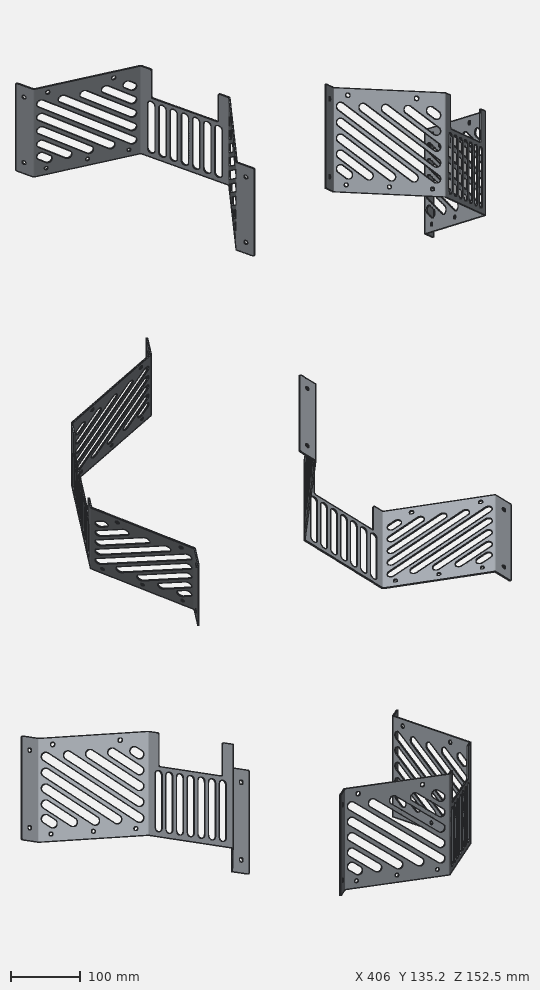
import cadquery as cq
import math

width = 406.0
depth = 135.2
height = 152.5

sheet = 2.0
bend_inner_radius = 1.2
bend_outer_radius = bend_inner_radius + sheet
flange_length = 31.0
back_half_width = 74.7

wall_run = width / 2 - flange_length - back_half_width
wall_rise = depth - sheet
wall_angle = math.degrees(math.atan2(wall_rise, wall_run))
bend_shift = sheet * math.tan(math.radians(wall_angle / 2))

flange_corner_radius = 2.5
flange_hole_diameter = 6.5
flange_hole_inset = 14.2
flange_hole_spacing = 113.7

notch_width = 113.7
notch_floor = 103.0
notch_radius = 2.5
slot_width = 12.5
slot_pitch = 19.0
back_slot_count = 7
back_slot_length = 89.8
back_slot_bottom = 7.5

slant_angle = 35.0
slant_end_bottom = 26.0
slant_end_height = 99.0
slant_end_width = slant_end_height / math.tan(math.radians(slant_angle))
slant_center_shift = -1.2
slants_each_side = 4
lowest_slant_shift = 1.5

upper_hole_diameter = 6.5
upper_hole_z = 142.0
upper_hole_places = (-61.5, 40.2)
lower_hole_diameter = 5.5
lower_hole_z = 11.0
lower_hole_places = (-63.8, 0.0, 63.8)

cut_depth = 4 * sheet


def bent_sheet():
    """Folded strip, extruded over the full height, with rounded bends."""
    flange_front = (width / 2 - flange_length, 0)
    flange_back = (flange_front[0] + bend_shift, sheet)
    panel_front = (back_half_width, depth - sheet)
    panel_back = (back_half_width + bend_shift, depth)
    right_side = [
        panel_back,
        flange_back,
        (width / 2, sheet),
        (width / 2, 0),
        flange_front,
        panel_front,
    ]
    left_side = [(-x, y) for x, y in reversed(right_side)]
    body = cq.Workplane("XY").polyline(right_side + left_side).close().extrude(height)

    bend_radii = (
        (flange_front, bend_outer_radius),
        (flange_back, bend_inner_radius),
        (panel_front, bend_inner_radius),
        (panel_back, bend_outer_radius),
    )
    for (x, y), radius in bend_radii:
        for side in (-1, 1):
            edge = cq.selectors.NearestToPointSelector((side * x, y, height / 2))
            body = body.edges(edge).fillet(radius)
    return body


def cut_notch(body):
    """Open notch in the top edge of the back panel, with all four corners rounded."""
    notch = (
        cq.Workplane("XZ", origin=(0, depth + sheet, 0))
        .center(0, (notch_floor + height) / 2)
        .rect(notch_width, height - notch_floor)
        .extrude(cut_depth)
    )
    body = body.cut(notch)
    for side in (-1, 1):
        for z in (notch_floor, height):
            corner = (side * notch_width / 2, depth - sheet / 2, z)
            body = body.edges(cq.selectors.NearestToPointSelector(corner)).fillet(notch_radius)
    return body


def back_slots():
    """Row of upright slots in the back panel."""
    return (
        cq.Workplane("XZ", origin=(0, depth + sheet, back_slot_bottom + back_slot_length / 2))
        .rarray(slot_pitch, 4, back_slot_count, 1)
        .slot2D(back_slot_length, slot_width, 90)
        .extrude(cut_depth)
    )


def flange_holes():
    """Mounting holes, two in each flange."""
    return (
        cq.Workplane("XZ", origin=(0, cut_depth / 2, height / 2))
        .rarray(width - 2 * flange_hole_inset, flange_hole_spacing, 2, 2)
        .circle(flange_hole_diameter / 2)
        .extrude(cut_depth)
    )


def left_wall_plane():
    """Plane in the middle of the left wall: x runs along the wall to the back panel, y is up."""
    middle_x = -(width / 2 - flange_length + back_half_width + bend_shift) / 2
    angle = math.radians(wall_angle)
    return cq.Plane(
        origin=(middle_x, depth / 2, 0),
        xDir=(math.cos(angle), math.sin(angle), 0),
        normal=(math.sin(angle), -math.cos(angle), 0),
    )


def slant_ends(index):
    """End centres of one slanted slot; index 0 is the longest, positive ones lie above it."""
    offset = index * slot_pitch
    if index == -slants_each_side:
        offset += lowest_slant_shift
    offset_along = offset / math.sin(math.radians(slant_angle))
    offset_up = offset / math.cos(math.radians(slant_angle))
    start_x = slant_center_shift - slant_end_width / 2
    end_x = start_x + slant_end_width
    top_z = slant_end_bottom + slant_end_height
    if index >= 0:
        return (start_x + offset_along, top_z), (end_x, slant_end_bottom + offset_up)
    return (start_x, top_z + offset_up), (end_x + offset_along, slant_end_bottom)


def left_wall_cuts():
    """Slanted slots and small holes of the left wall."""
    wall = cq.Workplane(left_wall_plane())
    cuts = cq.Workplane()
    for index in range(-slants_each_side, slants_each_side + 1):
        (x1, z1), (x2, z2) = slant_ends(index)
        length = math.hypot(x2 - x1, z2 - z1) + slot_width
        slot = (
            wall.center((x1 + x2) / 2, (z1 + z2) / 2)
            .slot2D(length, slot_width, -slant_angle)
            .extrude(cut_depth / 2, both=True)
        )
        cuts = cuts.add(slot)

    hole_rows = (
        (upper_hole_places, upper_hole_z, upper_hole_diameter),
        (lower_hole_places, lower_hole_z, lower_hole_diameter),
    )
    for places, z, diameter in hole_rows:
        holes = (
            wall.pushPoints([(x, z) for x in places])
            .circle(diameter / 2)
            .extrude(cut_depth / 2, both=True)
        )
        cuts = cuts.add(holes)
    return cuts.combine()


body = bent_sheet()
body = body.edges("<X or >X").edges("|Y").fillet(flange_corner_radius)
body = cut_notch(body)
body = body.cut(back_slots()).cut(flange_holes())
wall_cuts = left_wall_cuts()
result = body.cut(wall_cuts).cut(wall_cuts.mirror("YZ"))